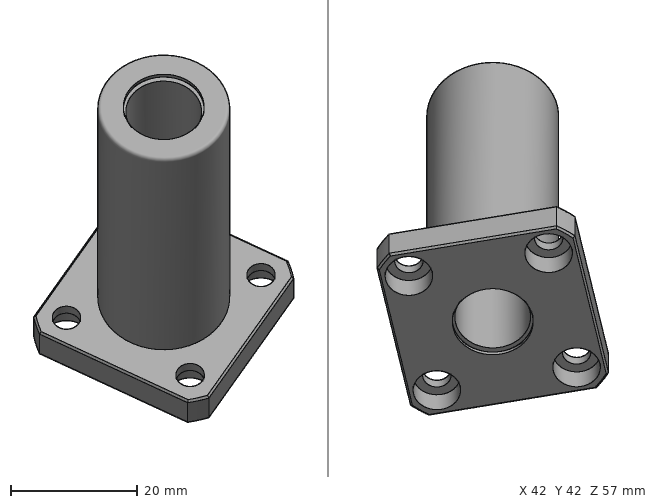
import cadquery as cq

total_height = 57.0
sleeve_diameter = 21.0
sleeve_top_fillet = 0.6

bore_diameter = 12.0
lip_diameter = 12.8
lip_height = 0.75
groove_diameter = 13.6
groove_height = 0.55

flange_side = 32.05
flange_corner_span = 41.95
flange_thickness = 6.0
flange_chamfer = 0.35

hole_circle_diameter = 32.0
hole_diameter = 4.5
counterbore_diameter = 7.5
counterbore_depth = 4.1


def make_flange():
    """Square plate with its corners turned to a circle and its rims chamfered."""
    square = (
        cq.Workplane("XY")
        .rect(flange_side, flange_side)
        .extrude(flange_thickness)
        .rotate((0, 0, 0), (0, 0, 1), 45)
    )
    disc = cq.Workplane("XY").circle(flange_corner_span / 2).extrude(flange_thickness)
    return square.intersect(disc).faces("<Z or >Z").chamfer(flange_chamfer)


def make_sleeve():
    sleeve = cq.Workplane("XY").circle(sleeve_diameter / 2).extrude(total_height)
    return sleeve.faces(">Z").edges().fillet(sleeve_top_fillet)


def cylinder(diameter, bottom, height):
    return cq.Workplane("XY").workplane(offset=bottom).circle(diameter / 2).extrude(height)


def make_bore():
    """Through bore with the same lip and groove at both ends."""
    bore = cylinder(bore_diameter, 0, total_height)
    recess_depth = lip_height + groove_height
    for lip_bottom, groove_bottom in (
        (0, lip_height),
        (total_height - lip_height, total_height - recess_depth),
    ):
        bore = bore.union(cylinder(lip_diameter, lip_bottom, lip_height))
        bore = bore.union(cylinder(groove_diameter, groove_bottom, groove_height))
    return bore


def drill_mounting_holes(body):
    """Holes through the flange with counterbores open at the bottom face."""
    return (
        body.faces("<Z")
        .workplane(origin=(0, 0, 0))
        .polarArray(hole_circle_diameter / 2, 0, 360, 4)
        .cboreHole(hole_diameter, counterbore_diameter, counterbore_depth, flange_thickness)
    )


body = make_flange().union(make_sleeve()).cut(make_bore())
result = drill_mounting_holes(body)